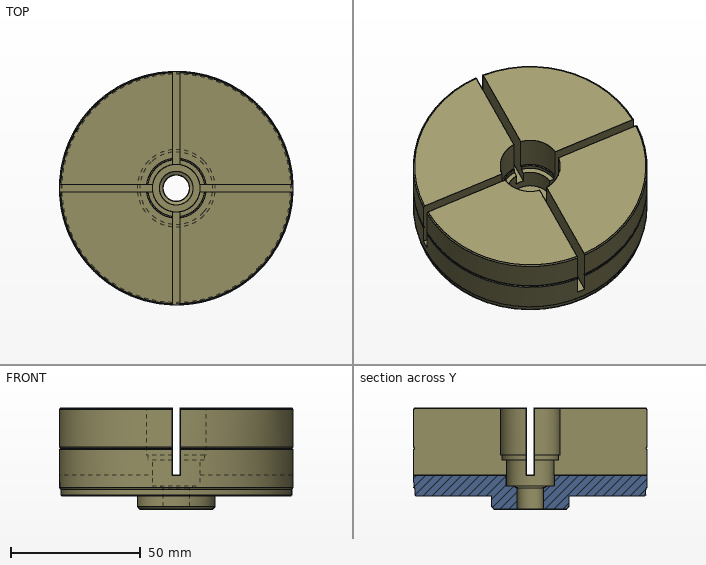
import cadquery as cq

disc_diameter = 90.0
disc_height = 33.9
boss_diameter = 30.0
boss_height = 5.0
boss_chamfer = 1.0
edge_bevel = 0.495

groove_depth_from_top = 15.5
shoulder_depth_from_top = 30.5
shoulder_height = 0.8
slot_depth = 25.8
slot_width = 3.0

upper_bore_diameter = 23.0
upper_bore_depth = 18.0
collar_diameter = 22.0
collar_depth = 20.0
screw_recess_diameter = 18.4
screw_recess_depth = 30.0
hole_mouth_diameter = 13.0
hole_diameter = 10.1
hole_cone_depth = 0.8

disc_radius = disc_diameter / 2
lip_radius = disc_radius - edge_bevel
boss_radius = boss_diameter / 2
total_height = boss_height + disc_height
groove_z = total_height - groove_depth_from_top
shoulder_z = total_height - shoulder_depth_from_top


def make_body():
    """Revolve the boss and the disc with its lip, V-groove and beveled rims."""
    outline = [
        (0, 0),
        (boss_radius - boss_chamfer, 0),
        (boss_radius, boss_chamfer),
        (boss_radius, boss_height),
        (lip_radius - edge_bevel, boss_height),
        (lip_radius, boss_height + edge_bevel),
        (lip_radius, shoulder_z - shoulder_height),
        (disc_radius, shoulder_z),
        (disc_radius, groove_z - edge_bevel),
        (disc_radius - edge_bevel, groove_z),
        (disc_radius, groove_z + edge_bevel),
        (disc_radius, total_height - edge_bevel),
        (disc_radius - edge_bevel, total_height),
        (0, total_height),
    ]
    return cq.Workplane("XZ").polyline(outline).close().revolve(360, (0, 0), (0, 1))


def make_bore():
    """Revolve the through bore: three flat-bottomed steps and a shallow cone into the hole."""
    upper_radius = upper_bore_diameter / 2
    collar_radius = collar_diameter / 2
    recess_radius = screw_recess_diameter / 2
    hole_radius = hole_diameter / 2
    upper_floor_z = total_height - upper_bore_depth
    collar_floor_z = total_height - collar_depth
    recess_floor_z = total_height - screw_recess_depth
    outline = [
        (0, 0),
        (hole_radius, 0),
        (hole_radius, recess_floor_z - hole_cone_depth),
        (hole_mouth_diameter / 2, recess_floor_z),
        (recess_radius, recess_floor_z),
        (recess_radius, collar_floor_z),
        (collar_radius, collar_floor_z),
        (collar_radius, upper_floor_z),
        (upper_radius, upper_floor_z),
        (upper_radius, total_height),
        (0, total_height),
    ]
    return cq.Workplane("XZ").polyline(outline).close().revolve(360, (0, 0), (0, 1))


def make_cross_slots():
    """Two full-width slots along X and Y that split the top into four jaws."""
    slot_floor_z = total_height - slot_depth
    slot = cq.Workplane("XY", origin=(0, 0, slot_floor_z)).box(
        disc_diameter, slot_width, slot_depth, centered=(True, True, False)
    )
    return slot.union(slot.rotate((0, 0, 0), (0, 0, 1), 90))


result = make_body().cut(make_bore()).cut(make_cross_slots())